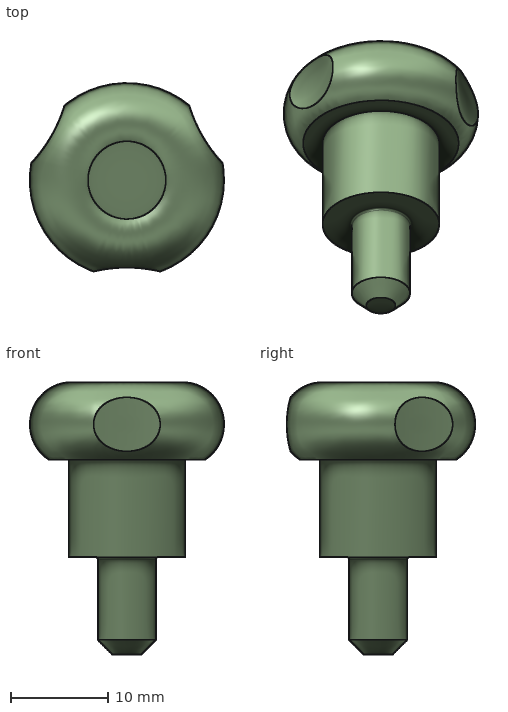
import cadquery as cq
import math

stem_diameter = 6.0
stem_length = 10.0
tip_chamfer = 1.5
root_fillet = 0.2
collar_diameter = 12.0
collar_height = 10.0

head_diameter = 20.0
head_height = 8.0
head_base_diameter = 16.0
dish_diameter = 8.0

grip_count = 3
grip_radius = 15.0
grip_depth = 1.0
first_grip_angle = -90.0

stem_radius = stem_diameter / 2
collar_radius = collar_diameter / 2
head_radius = head_diameter / 2
dish_radius = dish_diameter / 2
collar_bottom = stem_length
head_bottom = collar_bottom + collar_height
head_top = head_bottom + head_height

head_base_radius = head_base_diameter / 2
rim_overhang = head_radius - head_base_radius
rim_radius = rim_overhang + head_height - math.sqrt(2 * rim_overhang * head_height)
rim_center_r = head_radius - rim_radius
rim_center_z = head_top - rim_radius


def make_body():
    """Revolve the half section of stem, collar and head about the Z axis."""
    dish_z = rim_center_z + math.sqrt(rim_radius**2 - (rim_center_r - dish_radius) ** 2)
    fillet_middle = root_fillet * (1 - math.sqrt(0.5))
    profile = (
        cq.Workplane("XZ")
        .lineTo(stem_radius - tip_chamfer, 0)
        .lineTo(stem_radius, tip_chamfer)
        .lineTo(stem_radius, collar_bottom - root_fillet)
        .threePointArc(
            (stem_radius + fillet_middle, collar_bottom - fillet_middle),
            (stem_radius + root_fillet, collar_bottom),
        )
        .lineTo(collar_radius, collar_bottom)
        .lineTo(collar_radius, head_bottom)
        .lineTo(head_base_radius, head_bottom)
        .threePointArc((head_radius, rim_center_z), (dish_radius, dish_z))
        .lineTo(0, dish_z)
        .close()
    )
    return profile.revolve(360, (0, 0, 0), (0, 1, 0))


def make_grip_cutter(angle):
    """Vertical cylinder that scoops one finger grip out of the rim."""
    axis_distance = head_radius - grip_depth + grip_radius
    axis_x = axis_distance * math.cos(math.radians(angle))
    axis_y = axis_distance * math.sin(math.radians(angle))
    return (
        cq.Workplane("XY", origin=(axis_x, axis_y, head_bottom))
        .circle(grip_radius)
        .extrude(head_height)
    )


result = make_body()
for index in range(grip_count):
    grip_angle = first_grip_angle + index * 360 / grip_count
    result = result.cut(make_grip_cutter(grip_angle))